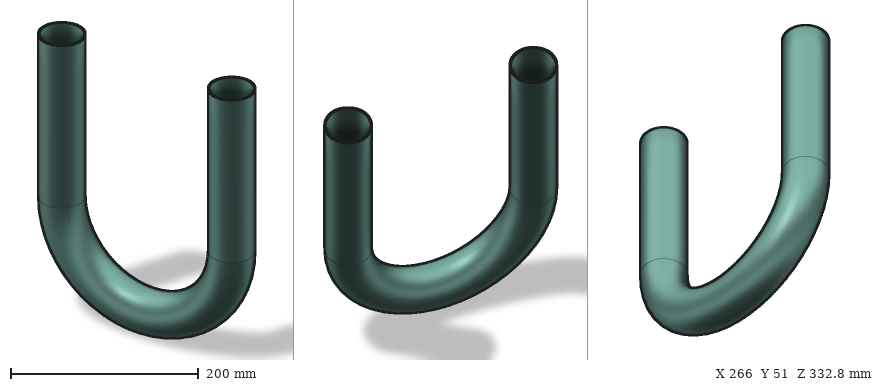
import cadquery as cq

total_height = 332.8
overall_width = 266.0
outer_diameter = 51.0
inner_diameter = 48.0

bend_radius = (overall_width - outer_diameter) / 2
leg_length = total_height - overall_width / 2

centreline = (
    cq.Workplane("XZ")
    .moveTo(-bend_radius, leg_length)
    .lineTo(-bend_radius, 0)
    .threePointArc((0, -bend_radius), (bend_radius, 0))
    .lineTo(bend_radius, leg_length)
)

result = (
    cq.Workplane("XY", origin=(-bend_radius, 0, leg_length))
    .circle(outer_diameter / 2)
    .circle(inner_diameter / 2)
    .sweep(centreline)
)